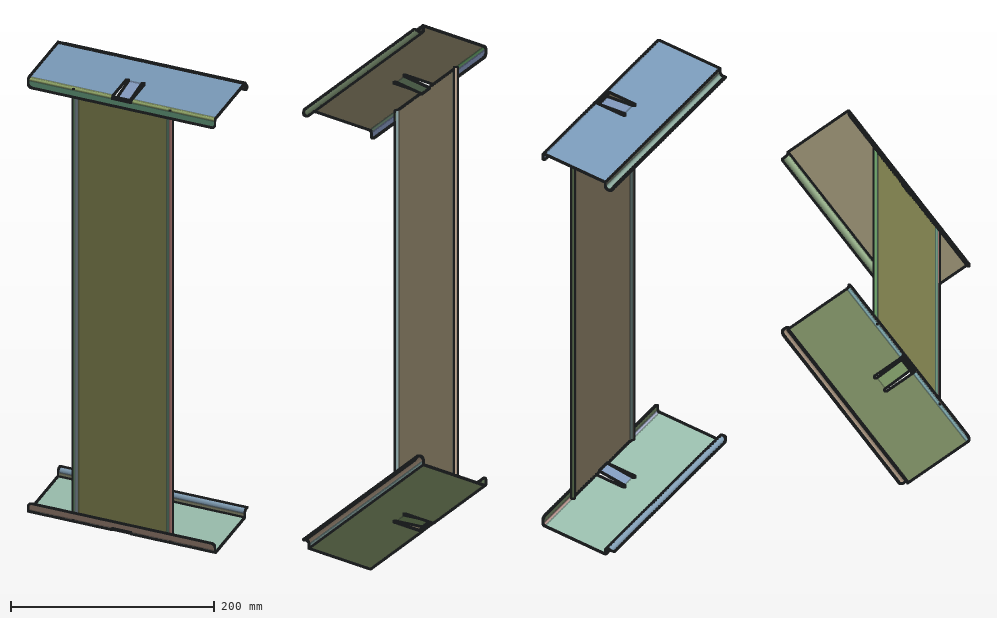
import cadquery as cq
import math

TOTAL_HEIGHT = 498.5
TRAY_LENGTH = 200.0
TRAY_DEPTH = 83.2
SHEET = 1.0

LIP_HEIGHT = 11.0
LIP_CORNER_RADIUS = 4.0
BEND_RADIUS = 3.0

HOOK_RADIUS = 4.5
HOOK_CENTRE_HEIGHT = 5.0
HOOK_BEVEL = 3.5

TONGUE_WIDTH = 14.0
SLOT_WIDTH = 3.0
SLOT_ROOT_Y = -5.5
SLOT_FRONT_Y = -41.5
TONGUE_ROOT_Y = -7.5
TONGUE_DROP = 3.5

PANEL_WIDTH = 107.5
BEAD_RADIUS = 2.1
BEAD_NECK = 4.5
PANEL_LIP_GAP = 0.25
PANEL_END_GAP = 2.25

FRONT_Y = -TRAY_DEPTH / 2
REAR_Y = TRAY_DEPTH / 2
WALL_Y = REAR_Y - 2 * HOOK_RADIUS
PANEL_Y = FRONT_Y + SHEET + PANEL_LIP_GAP + BEAD_RADIUS
TONGUE_TIP_Y = PANEL_Y + SHEET / 2
PANEL_LENGTH = TOTAL_HEIGHT - 2 * PANEL_END_GAP


def box(x_size, y_range, z_range):
    """Box centred on X = 0, between the given limits along Y and Z."""
    return cq.Workplane("XY").box(
        x_size, y_range[1] - y_range[0], z_range[1] - z_range[0], centered=(True, False, False)
    ).translate((0, y_range[0], z_range[0]))


def on_circle(centre, radius, angle):
    """Point of a circle at an angle from its first axis."""
    return (centre[0] + radius * math.cos(angle), centre[1] + radius * math.sin(angle))


def sheet_profile():
    """Bent sheet from the tip of the front lip to the tip of the rear hook."""
    bend = (FRONT_Y + BEND_RADIUS, BEND_RADIUS)
    hook_y = REAR_Y - HOOK_RADIUS
    hook_top = HOOK_CENTRE_HEIGHT + HOOK_RADIUS
    inner_bend = BEND_RADIUS - SHEET
    mid_bend = math.radians(225)
    return (
        cq.Workplane("YZ")
        .moveTo(FRONT_Y, LIP_HEIGHT)
        .lineTo(FRONT_Y, BEND_RADIUS)
        .threePointArc(on_circle(bend, BEND_RADIUS, mid_bend), (bend[0], 0))
        .lineTo(WALL_Y + SHEET, 0)
        .lineTo(WALL_Y + SHEET, HOOK_CENTRE_HEIGHT)
        .threePointArc((hook_y, hook_top - SHEET), (REAR_Y - SHEET, HOOK_CENTRE_HEIGHT))
        .lineTo(REAR_Y, HOOK_CENTRE_HEIGHT)
        .threePointArc((hook_y, hook_top), (WALL_Y, HOOK_CENTRE_HEIGHT))
        .lineTo(WALL_Y, SHEET)
        .lineTo(bend[0], SHEET)
        .threePointArc(on_circle(bend, inner_bend, mid_bend), (FRONT_Y + SHEET, BEND_RADIUS))
        .lineTo(FRONT_Y + SHEET, LIP_HEIGHT)
        .close()
    )


def hook_corner_cutter():
    """Wedges that bevel the two ends of the hook tip."""
    half = TRAY_LENGTH / 2
    low = HOOK_CENTRE_HEIGHT
    wedge = (
        cq.Workplane("XZ", origin=(0, REAR_Y, 0))
        .polyline([(half, low), (half - HOOK_BEVEL, low), (half, low + HOOK_BEVEL)])
        .close()
        .extrude(HOOK_RADIUS)
    )
    return wedge.union(wedge.mirror("YZ"))


def slot_cutter():
    """Opening around the tongue: two slots with round ends joined by the freed strip."""
    pitch = TONGUE_WIDTH + SLOT_WIDTH
    end_y = SLOT_ROOT_Y - SLOT_WIDTH / 2
    cutter = box(TONGUE_WIDTH, (SLOT_FRONT_Y, TONGUE_ROOT_Y), (0, BEND_RADIUS))
    for x in (-pitch / 2, pitch / 2):
        slot = box(SLOT_WIDTH, (SLOT_FRONT_Y, end_y), (0, BEND_RADIUS)).translate((x, 0, 0))
        slot_end = cq.Workplane("XY").center(x, end_y).circle(SLOT_WIDTH / 2).extrude(BEND_RADIUS)
        cutter = cutter.union(slot).union(slot_end)
    return cutter


def tongue():
    """Strip that slopes from its root in the plate towards the panel."""
    return (
        cq.Workplane("YZ")
        .polyline([
            (TONGUE_ROOT_Y, 0),
            (TONGUE_ROOT_Y, SHEET),
            (TONGUE_TIP_Y, TONGUE_DROP + SHEET),
            (TONGUE_TIP_Y, TONGUE_DROP),
        ])
        .close()
        .extrude(TONGUE_WIDTH / 2, both=True)
    )


def make_tray():
    """Lower tray with its lip, hook and tongue, moved to the bottom of the part."""
    tray = sheet_profile().extrude(TRAY_LENGTH / 2, both=True)
    tray = tray.faces(">Z").edges("|Y").fillet(LIP_CORNER_RADIUS)
    tray = tray.cut(hook_corner_cutter())
    tray = tray.cut(slot_cutter()).union(tongue())
    return tray.translate((0, 0, -TOTAL_HEIGHT / 2))


def panel_edge_points():
    """Points along the rear half of the right edge: neck start, neck middle, bead start, bead middle, tip.

    The concave neck is tangent to the flat sheet and to the round bead.
    """
    half_sheet = SHEET / 2
    bead = (PANEL_WIDTH / 2 - BEAD_RADIUS, 0)
    neck_radius = (BEAD_NECK**2 + half_sheet**2 - BEAD_RADIUS**2) / (2 * (BEAD_RADIUS - half_sheet))
    neck = (bead[0] - BEAD_NECK, half_sheet + neck_radius)
    neck_turn = math.asin(BEAD_NECK / (BEAD_RADIUS + neck_radius))
    bead_start = math.pi / 2 + neck_turn
    return (
        (neck[0], half_sheet),
        on_circle(neck, neck_radius, -math.pi / 2 + neck_turn / 2),
        on_circle(bead, BEAD_RADIUS, bead_start),
        on_circle(bead, BEAD_RADIUS, bead_start / 2),
        (PANEL_WIDTH / 2, 0),
    )


def make_panel():
    """Flat sheet with a round bead along each long edge, made of two faces that meet at the tip."""
    neck_start, neck_middle, bead_start, bead_middle, tip = panel_edge_points()

    def across(point, x_side, y_side):
        return (x_side * point[0], y_side * point[1])

    outline = cq.Workplane("XY").moveTo(*across(neck_start, -1, 1))
    for side in (1, -1):
        outline = (
            outline.lineTo(*across(neck_start, side, side))
            .threePointArc(across(neck_middle, side, side), across(bead_start, side, side))
            .threePointArc(across(bead_middle, side, side), across(tip, side, side))
            .threePointArc(across(bead_middle, side, -side), across(bead_start, side, -side))
            .threePointArc(across(neck_middle, side, -side), across(neck_start, side, -side))
        )
    return outline.close().extrude(PANEL_LENGTH, clean=False).translate((0, PANEL_Y, -PANEL_LENGTH / 2))


bottom_tray = make_tray()
top_tray = bottom_tray.mirror("XY")
panel = make_panel()

result = cq.Compound.makeCompound([bottom_tray.val(), top_tray.val(), panel.val()])